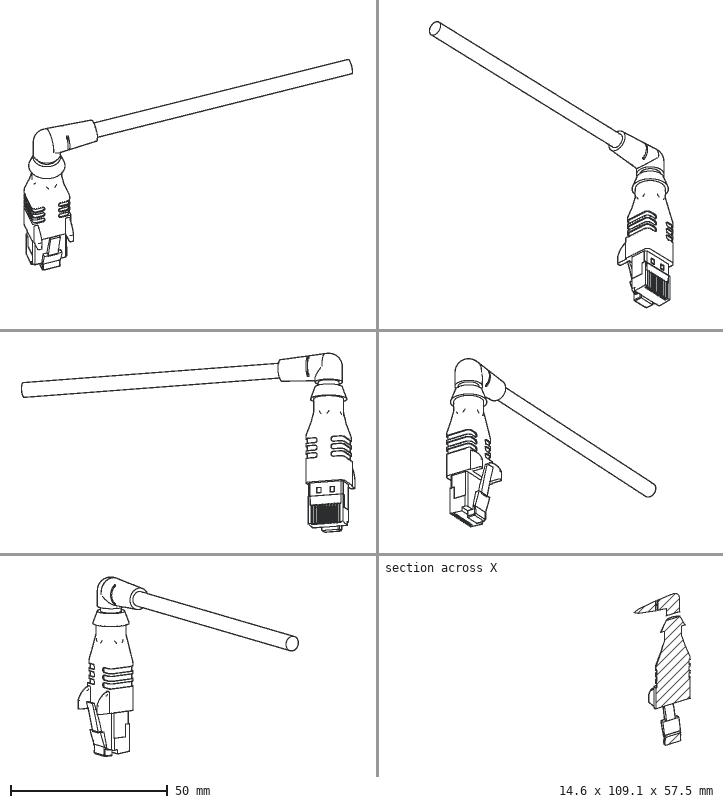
import cadquery as cq
import math


CABLE_DIA = 4.8
OVERALL_X = 14.62
OVERALL_Y = 109.05
OVERALL_Z = 57.5
ELBOW_R = 8.8 / 2
ELBOW_BOTTOM = -5.0
SLEEVE_START = 0.8
SLEEVE_START_R = 4.38
SLEEVE_END = 15.9
SLEEVE_END_R = 3.5
NOTCH_Y = 6.05
NOTCH_WIDTH = 0.6
NOTCH_FLOOR = 2.5

NECK_R = 6.7 / 2
SKIRT_TOP = -6.6
SKIRT_TOP_R = 8.8 / 2
SKIRT_BOTTOM = -10.55
SKIRT_BOTTOM_R = 5.83
SHANK_R = 9.6 / 2

BOOT_HALF_X = SHANK_R
BOOT_HALF_Y = 6.5
GRIP_TOP = -23.3
GRIP_BOTTOM = -30.5
BOOT_BOTTOM = -38.4
BOOT_CORNER_R = 1.5
LATCH_SIDE_CORNER_R = 0.2

SHOULDER_SECTIONS = [
    (GRIP_TOP, BOOT_HALF_X, BOOT_HALF_Y, BOOT_CORNER_R),
    (-22.6, BOOT_HALF_X, 6.4, BOOT_CORNER_R),
    (-18.2, BOOT_HALF_X, 4.9, 2.3),
    (-16.8, BOOT_HALF_X, SHANK_R, 3.0),
    (-13.0, 4.0, 4.0, 2.6),
]

GROOVE_COUNT = 3
GROOVE_FIRST_Z = -24.8
GROOVE_PITCH = 2.45
GROOVE_WIDTH = 1.6
GROOVE_DEPTH = 0.4
GROOVE_INNER_Y = 2.35

EAR_X = OVERALL_X - SKIRT_BOTTOM_R
EAR_ROOT_X = 4.3
EAR_TOP = -31.1
EAR_SHOULDER = -35.6
EAR_BULGE = 0.75
EAR_INNER_Y = 4.6
EAR_THICKNESS = 1.5
EAR_EDGE_R = 0.5

PLUG_HALF_X = 3.25
PLUG_HALF_Y = 5.84
PLUG_CORNER = 0.65
PLUG_BOTTOM = -51.7
PLUG_BOTTOM_LATCH = -52.2
SHIELD_STEP = 0.1
SHIELD_EDGE_TOP = -42.7
SHIELD_EDGE_BOTTOM = -46.8
SHIELD_EDGE_X = -1.65

DIMPLE_Y = 2.25
DIMPLE_WIDTH = 1.4
DIMPLE_HEIGHT = 1.7
DIMPLE_Z = -40.9
DIMPLE_DEPTH = 0.3
STEP_DEPTH = 0.2
RAMP_TOP = -43.7
RAMP_BOTTOM = -45.6
RAMP_DEPTH = 0.7
SLOT_COUNT = 10
CONTACT_PITCH = 1.02
CONTACT_WIDTH = 0.3
CONTACT_TOP = -46.4
CONTACT_RECESS = 0.4
CONTACT_SLOT_WIDTH = 0.6
CONTACT_SLOT_DEPTH = 1.2

LATCH_BOTTOM = ELBOW_R - OVERALL_Z
LATCH_FOOT_HALF_Y = 3.0
LATCH_LEVER_HALF_Y = 1.65
FOOT_X = 1.4
FOOT_CHAMFER = 0.3
NOSE_NOTCH_TOP = -50.7
FOOT_OUTLINE = [
    (FOOT_X, NOSE_NOTCH_TOP),
    (3.4, NOSE_NOTCH_TOP),
    (3.7, -49.4),
    (4.5, -49.4),
    (4.65, -52.6),
    (4.15, LATCH_BOTTOM),
    (FOOT_X, LATCH_BOTTOM),
]
SPRING_OUTLINE = [
    (3.7, -50.0),
    (4.0, -48.5),
    (4.8, -45.0),
    (6.1, -45.0),
    (5.6, -46.8),
    (4.5, -50.0),
]
LEVER_OUTLINE = [
    (4.5, -46.4),
    (5.4, -42.3),
    (7.6, -35.5),
    (8.35, -35.5),
    (7.4, -39.0),
    (6.0, -45.4),
]
SELECT_MARGIN = 0.1


def rounded_block(half_x, half_y, top, bottom, left_r, right_r):
    """Upright block whose -X and +X corners have their own radii."""
    block = (
        cq.Workplane("XY").workplane(offset=bottom)
        .rect(2 * half_x, 2 * half_y).extrude(top - bottom)
    )
    block = block.edges("|Z and <X").fillet(left_r)
    return block.edges("|Z and >X").fillet(right_r)


def profile_y(points, half_y):
    """Prism with an XZ outline, centred on Y = 0."""
    return cq.Workplane("XZ").polyline(points).close().extrude(half_y, both=True)


def make_arm():
    """Tapered sleeve and cable turned about the cable axis."""
    cable_end = OVERALL_Y - BOOT_HALF_Y
    arm = (
        cq.Workplane("XY")
        .polyline([
            (0, SLEEVE_START),
            (SLEEVE_START_R, SLEEVE_START),
            (SLEEVE_END_R, SLEEVE_END),
            (CABLE_DIA / 2, SLEEVE_END),
            (CABLE_DIA / 2, cable_end),
            (0, cable_end),
        ])
        .close().revolve(360, (0, 0, 0), (0, 1, 0))
    )
    for side in (-1, 1):
        notch = cq.Workplane("XY").box(ELBOW_R, NOTCH_WIDTH, 2 * ELBOW_R)
        arm = arm.cut(notch.translate((side * (NOTCH_FLOOR + ELBOW_R / 2), NOTCH_Y, 0)))
    return arm


def make_shank():
    """Ball, collar, neck, conical skirt and round shank, turned about the plug axis."""
    ball_mid = ELBOW_R * math.sqrt(0.5)
    return (
        cq.Workplane("XZ")
        .moveTo(0, ELBOW_R)
        .threePointArc((ball_mid, ball_mid), (ELBOW_R, 0))
        .lineTo(ELBOW_R, ELBOW_BOTTOM)
        .lineTo(NECK_R, ELBOW_BOTTOM)
        .lineTo(NECK_R, SKIRT_TOP)
        .lineTo(SKIRT_TOP_R, SKIRT_TOP)
        .lineTo(SKIRT_BOTTOM_R, SKIRT_BOTTOM)
        .lineTo(SHANK_R, SKIRT_BOTTOM)
        .lineTo(SHANK_R, GRIP_TOP)
        .lineTo(0, GRIP_TOP)
        .close().revolve(360, (0, 0, 0), (0, 1, 0))
    )


def make_shoulder():
    """Shoulder that narrows from the grip until its corners vanish in the shank."""
    outlines = [
        cq.Sketch().rect(2 * half_x, 2 * half_y).vertices().fillet(corner_r)
        .moved(cq.Location(cq.Vector(0, 0, z)))
        for z, half_x, half_y, corner_r in SHOULDER_SECTIONS
    ]
    return cq.Workplane("XY").placeSketch(*outlines).loft(ruled=True)


def make_boot():
    grip = rounded_block(
        BOOT_HALF_X, BOOT_HALF_Y, GRIP_TOP, GRIP_BOTTOM, BOOT_CORNER_R, BOOT_CORNER_R
    )
    base = rounded_block(
        BOOT_HALF_X, BOOT_HALF_Y, GRIP_BOTTOM, BOOT_BOTTOM, BOOT_CORNER_R, LATCH_SIDE_CORNER_R
    )
    return grip.union(base).union(make_shoulder())


def make_grooves():
    """Shallow finger grooves wrapping both narrow ends of the boot."""
    core = rounded_block(
        BOOT_HALF_X - GROOVE_DEPTH, BOOT_HALF_Y - GROOVE_DEPTH, GRIP_TOP, BOOT_BOTTOM,
        BOOT_CORNER_R - GROOVE_DEPTH, BOOT_CORNER_R - GROOVE_DEPTH,
    )
    slot_length = 2 * (BOOT_HALF_Y - GROOVE_INNER_Y)
    centers = [
        (side * BOOT_HALF_Y, GROOVE_FIRST_Z - i * GROOVE_PITCH)
        for side in (-1, 1)
        for i in range(GROOVE_COUNT)
    ]
    slots = (
        cq.Workplane("YZ").pushPoints(centers)
        .slot2D(slot_length, GROOVE_WIDTH).extrude(2 * BOOT_HALF_X, both=True)
    )
    return slots.cut(core)


def make_ear(side):
    """Fin with a bowed outer edge beside the latch; side is -1 or +1 along Y."""
    chord_x = EAR_X - EAR_ROOT_X
    chord_z = EAR_TOP - EAR_SHOULDER
    chord = math.hypot(chord_x, chord_z)
    bow_point = (
        (EAR_ROOT_X + EAR_X) / 2 + EAR_BULGE * chord_z / chord,
        (EAR_TOP + EAR_SHOULDER) / 2 + EAR_BULGE * chord_x / chord,
    )
    ear = (
        cq.Workplane("XZ")
        .moveTo(EAR_ROOT_X, BOOT_BOTTOM)
        .lineTo(EAR_ROOT_X, EAR_TOP)
        .threePointArc(bow_point, (EAR_X, EAR_SHOULDER))
        .lineTo(EAR_X, BOOT_BOTTOM)
        .close().extrude(EAR_THICKNESS / 2, both=True)
    )
    outer_edges = cq.selectors.BoxSelector(
        (EAR_ROOT_X + SELECT_MARGIN, -EAR_THICKNESS, BOOT_BOTTOM + SELECT_MARGIN),
        (EAR_X + SELECT_MARGIN, EAR_THICKNESS, EAR_TOP),
    )
    ear = ear.edges(outer_edges).edges("not(|Y)").fillet(EAR_EDGE_R)
    return ear.translate((0, side * (EAR_INNER_Y + EAR_THICKNESS / 2), 0))


def make_plug():
    """Plug body with chamfered upper corners, slightly sunken shielded flanks and contacts."""
    outline = [
        (-PLUG_HALF_X, GRIP_BOTTOM),
        (PLUG_HALF_X, GRIP_BOTTOM),
        (PLUG_HALF_X, PLUG_BOTTOM_LATCH),
        (-PLUG_HALF_X, PLUG_BOTTOM),
    ]
    plug = profile_y(outline, PLUG_HALF_Y).edges("|Z and >X").chamfer(PLUG_CORNER)
    upper = (
        cq.Workplane("XY").workplane(offset=SHIELD_EDGE_TOP)
        .rect(2 * PLUG_HALF_X, 2 * PLUG_HALF_Y).extrude(GRIP_BOTTOM - SHIELD_EDGE_TOP)
    )
    upper_corners = upper.cut(upper.edges("|Z and <X").chamfer(PLUG_CORNER))
    nose_notch = profile_y(
        [
            (FOOT_X, NOSE_NOTCH_TOP),
            (PLUG_HALF_X, NOSE_NOTCH_TOP),
            (PLUG_HALF_X, LATCH_BOTTOM),
            (FOOT_X, LATCH_BOTTOM),
        ],
        PLUG_HALF_Y,
    )
    plug = plug.cut(upper_corners).cut(nose_notch)
    shield_outline = [
        (PLUG_CORNER - PLUG_HALF_X, BOOT_BOTTOM),
        (PLUG_CORNER - PLUG_HALF_X, SHIELD_EDGE_TOP),
        (SHIELD_EDGE_X, SHIELD_EDGE_TOP),
        (SHIELD_EDGE_X, SHIELD_EDGE_BOTTOM),
        (PLUG_HALF_X, SHIELD_EDGE_BOTTOM),
        (PLUG_HALF_X, BOOT_BOTTOM),
    ]
    shield = profile_y(shield_outline, PLUG_HALF_Y)
    shield = shield.cut(profile_y(shield_outline, PLUG_HALF_Y - SHIELD_STEP))
    return cut_contact_side(plug.cut(shield))


def cut_contact_side(plug):
    """Cut the dimples, the ramp and the contact slots into the -X face."""
    face_x = -PLUG_HALF_X
    for side in (-1, 1):
        dimple = cq.Workplane("XY").box(2 * DIMPLE_DEPTH, DIMPLE_WIDTH, DIMPLE_HEIGHT)
        plug = plug.cut(dimple.translate((face_x, side * DIMPLE_Y, DIMPLE_Z)))
    ramp = profile_y(
        [
            (face_x, SHIELD_EDGE_TOP),
            (face_x + STEP_DEPTH, SHIELD_EDGE_TOP),
            (face_x + STEP_DEPTH, RAMP_TOP),
            (face_x + RAMP_DEPTH, RAMP_BOTTOM),
            (face_x, RAMP_BOTTOM),
        ],
        PLUG_HALF_Y - PLUG_CORNER,
    )
    plug = plug.cut(ramp)
    for i in range(SLOT_COUNT):
        slot_y = (i - (SLOT_COUNT - 1) / 2) * CONTACT_PITCH
        slot = contact_side_bar(0, CONTACT_SLOT_WIDTH, RAMP_BOTTOM, LATCH_BOTTOM)
        if 0 < i < SLOT_COUNT - 1:
            slot = slot.cut(contact_side_bar(CONTACT_RECESS, CONTACT_WIDTH, CONTACT_TOP, PLUG_BOTTOM))
        plug = plug.cut(slot.translate((0, slot_y, 0)))
    return plug


def contact_side_bar(recess, width, top, bottom):
    """Upright bar from the slot floor out to a given recess behind the contact side."""
    outer_x = recess - PLUG_HALF_X
    inner_x = CONTACT_SLOT_DEPTH - PLUG_HALF_X
    return profile_y(
        [(outer_x, bottom), (inner_x, bottom), (inner_x, top), (outer_x, top)], width / 2
    )


def make_latch():
    """Foot under the plug nose, wide spring up to a shoulder, then a narrow lever."""
    foot = profile_y(FOOT_OUTLINE, LATCH_FOOT_HALF_Y)
    foot = foot.faces("<Y or >Y").chamfer(FOOT_CHAMFER)
    spring = profile_y(SPRING_OUTLINE, LATCH_FOOT_HALF_Y)
    lever = profile_y(LEVER_OUTLINE, LATCH_LEVER_HALF_Y)
    return foot.union(spring).union(lever)


result = make_shank().union(make_arm())
result = result.union(make_boot().cut(make_grooves()))
for ear_side in (-1, 1):
    result = result.union(make_ear(ear_side))
result = result.union(make_plug()).union(make_latch())